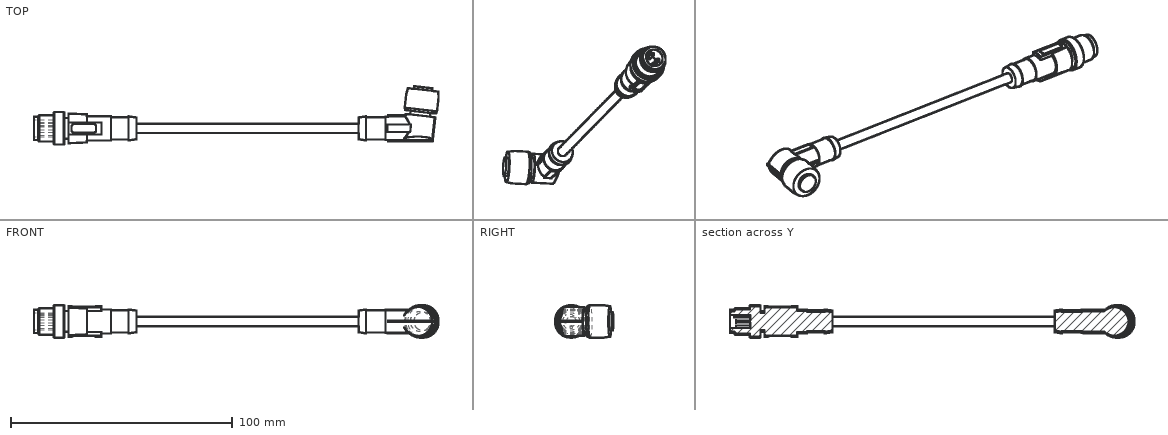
import cadquery as cq
import math

OVERALL_LENGTH = 183.0
OVERALL_WIDTH = 26.5
OVERALL_HEIGHT = 14.8
JOIN = 0.2

TIP_RADIUS = 5.3
THREAD_START = 1.8
THREAD_RADIUS = 6.0
THREAD_LEAD = 0.7
NUT_START = 9.0
NUT_END = 13.9
NUT_RADIUS = OVERALL_HEIGHT / 2
NUT_CHAMFER = 0.45
NECK_RADIUS = 4.8
BODY_START = 15.5
BODY_END = 24.0
BODY_RADIUS = 6.8
BODY_END_RADIUS = 6.4
SLEEVE_END = 35.0
SLEEVE_RADIUS = 5.5
WAIST_END = 42.8
WAIST_RADIUS = 5.1
COLLAR_END = 46.5
COLLAR_RADIUS = 5.5
COLLAR_END_RADIUS = 5.0

BORE_RADIUS = 3.8
BORE_DEPTH = 9.1
PIN_RADIUS = 0.64
PIN_LENGTH = 6.4
PIN_CIRCLE_RADIUS = 2.5
PIN_ANGLES = (90, 180, 270)
KEY_ANGLE = 57
KEY_WIDTH = 1.6
KEY_HEIGHT = 1.1

PAD_END = 30.5
PAD_WIDTH = 5.5
PAD_RADIUS = 7.0
POCKET_START = 17.0
POCKET_END = 28.2
POCKET_WIDTH = 3.8
POCKET_CHAMFER = 0.7
POCKET_FLOOR = 6.4

CABLE_RADIUS = 2.2

BARREL_START = 146.7
BARREL_RING_END = 150.0
BARREL_WAIST_END = 159.0
BARREL_WAIST_RADIUS = 5.1
BARREL_RADIUS = 5.3
GRIP_START = 159.9
GRIP_WIDTH = 3.3
GRIP_HEIGHT = 5.5

RIB_START = 160.0
RIB_FAR_END = 168.3
RIB_WIDTH = 0.7
RIB_CREST = 6.0
RIB_BACK = 7.0

ELBOW_TILT = math.radians(6.5)
ELBOW_RADIUS = 6.5
ELBOW_TOP = 5.9
ELBOW_NECK_RADIUS = 4.5
ELBOW_NUT_START = 7.5
ELBOW_NUT_FULL_START = 8.6
ELBOW_NUT_FULL_END = 14.6
ELBOW_NUT_END = 17.5
ELBOW_NUT_END_RADIUS = 7.0
INSERT_RADIUS = 4.2
END_FACE_APEX = 5.1
END_FACE_SLOPE = math.radians(12)

ELBOW_X = OVERALL_LENGTH - NUT_RADIUS * math.cos(ELBOW_TILT) - ELBOW_NUT_FULL_END * math.sin(ELBOW_TILT)
INSERT_TIP_Y = OVERALL_WIDTH - NUT_RADIUS
INSERT_END = (INSERT_TIP_Y - INSERT_RADIUS * math.sin(ELBOW_TILT)) / math.cos(ELBOW_TILT)


def turned(profile):
    """Solid of revolution about X from (station, radius) pairs."""
    points = [(profile[0][0], 0)] + profile + [(profile[-1][0], 0)]
    return cq.Workplane("XY").polyline(points).close().revolve(360, (0, 0, 0), (1, 0, 0))


def rod(start, length, radius, y=0, z=0):
    """Cylinder parallel to X."""
    return cq.Workplane("YZ", origin=(start, y, z)).circle(radius).extrude(length)


def block(x_range, y_range, z_range):
    """Axis-aligned box between the given limits."""
    spans = [high - low for low, high in (x_range, y_range, z_range)]
    corner = (x_range[0], y_range[0], z_range[0])
    return cq.Workplane("XY").box(*spans, centered=False).translate(corner)


def straight_plug():
    plug = turned([
        (0, TIP_RADIUS),
        (THREAD_START, TIP_RADIUS),
        (THREAD_START + THREAD_LEAD, THREAD_RADIUS),
        (NUT_START, THREAD_RADIUS),
        (NUT_START, NUT_RADIUS - NUT_CHAMFER),
        (NUT_START + NUT_CHAMFER, NUT_RADIUS),
        (NUT_END - NUT_CHAMFER, NUT_RADIUS),
        (NUT_END, NUT_RADIUS - NUT_CHAMFER),
        (NUT_END, NECK_RADIUS),
        (BODY_START, NECK_RADIUS),
        (BODY_START, BODY_RADIUS),
        (BODY_END, BODY_END_RADIUS),
        (BODY_END, SLEEVE_RADIUS),
        (SLEEVE_END, SLEEVE_RADIUS),
        (SLEEVE_END, WAIST_RADIUS),
        (WAIST_END, WAIST_RADIUS),
        (WAIST_END, COLLAR_RADIUS),
        (COLLAR_END, COLLAR_END_RADIUS),
    ])
    bore = rod(0, BORE_DEPTH, BORE_RADIUS)
    return plug.union(grip_pads()).cut(pad_pockets()).cut(bore).union(contacts())


def grip_pads():
    """Strip of a larger cylinder that stands proud above and below the body."""
    strip = block((BODY_START, PAD_END), (-PAD_WIDTH / 2, PAD_WIDTH / 2), (-PAD_RADIUS, PAD_RADIUS))
    return rod(BODY_START, PAD_END - BODY_START, PAD_RADIUS).intersect(strip)


def pad_pockets():
    """Shallow pockets with clipped corners sunk into both pads."""
    length = POCKET_END - POCKET_START
    depth = PAD_RADIUS - POCKET_FLOOR + JOIN
    upper = (
        cq.Workplane("XY", origin=((POCKET_START + POCKET_END) / 2, 0, POCKET_FLOOR))
        .rect(length, POCKET_WIDTH)
        .extrude(depth)
        .edges("|Z")
        .chamfer(POCKET_CHAMFER)
    )
    return upper.union(upper.mirror("XY"))


def contacts():
    """Contact pins and the coding key inside the bore."""
    key_base = BORE_RADIUS + JOIN
    parts = block(
        (THREAD_START, BORE_DEPTH + JOIN),
        (BORE_RADIUS - KEY_HEIGHT, key_base),
        (-KEY_WIDTH / 2, KEY_WIDTH / 2),
    ).rotate((0, 0, 0), (1, 0, 0), KEY_ANGLE)
    for angle in PIN_ANGLES:
        y = PIN_CIRCLE_RADIUS * math.cos(math.radians(angle))
        z = PIN_CIRCLE_RADIUS * math.sin(math.radians(angle))
        parts = parts.union(rod(BORE_DEPTH - PIN_LENGTH, PIN_LENGTH + JOIN, PIN_RADIUS, y, z))
    return parts


def barrel():
    """Cable-side barrel with a flat grip strip above and below."""
    body = turned([
        (BARREL_START, COLLAR_END_RADIUS),
        (BARREL_RING_END, COLLAR_RADIUS),
        (BARREL_RING_END, BARREL_WAIST_RADIUS),
        (BARREL_WAIST_END, BARREL_WAIST_RADIUS),
        (BARREL_WAIST_END, BARREL_RADIUS),
        (ELBOW_X, BARREL_RADIUS),
    ])
    grip = block((GRIP_START, ELBOW_X), (-GRIP_WIDTH / 2, GRIP_WIDTH / 2), (-GRIP_HEIGHT, GRIP_HEIGHT))
    return body.union(grip)


def leaned(shape):
    """Carry a shape that lies along X onto the leaning elbow axis."""
    turn = 90 - math.degrees(ELBOW_TILT)
    return shape.rotate((0, 0, 0), (0, 0, 1), turn).translate((ELBOW_X, 0, 0))


def end_envelope(reach):
    """Prism along X whose -Y side is a shallow roof with the barrel bulging through it."""
    eave = -END_FACE_APEX + reach * math.tan(END_FACE_SLOPE)
    roof = (
        cq.Workplane("YZ", origin=(ELBOW_X - reach, 0, 0))
        .polyline([(-END_FACE_APEX, 0), (eave, reach), (reach, reach), (reach, -reach), (eave, -reach)])
        .close()
        .extrude(2 * reach)
    )
    return roof.union(rod(ELBOW_X - reach, 2 * reach, BARREL_RADIUS))


def elbow():
    """Elbow housing with its nut and the socket insert."""
    reach = 2 * ELBOW_RADIUS
    housing = rod(-reach, reach + ELBOW_TOP, ELBOW_RADIUS)
    coupling = turned([
        (0, ELBOW_NECK_RADIUS),
        (ELBOW_NUT_START, ELBOW_NECK_RADIUS),
        (ELBOW_NUT_START, ELBOW_NUT_END_RADIUS),
        (ELBOW_NUT_FULL_START, NUT_RADIUS),
        (ELBOW_NUT_FULL_END, NUT_RADIUS),
        (ELBOW_NUT_END, ELBOW_NUT_END_RADIUS),
        (ELBOW_NUT_END, INSERT_RADIUS),
        (INSERT_END, INSERT_RADIUS),
    ])
    return leaned(housing).intersect(end_envelope(reach)).union(leaned(coupling))


def back_rib():
    """Thin rib along both Y sides of the barrel, leaning up the back of the elbow."""
    lean = math.tan(ELBOW_TILT)
    back_x = ELBOW_X + RIB_BACK / math.cos(ELBOW_TILT)
    top_y = ELBOW_TOP * math.cos(ELBOW_TILT) - RIB_BACK * math.sin(ELBOW_TILT)
    return (
        cq.Workplane("XY", origin=(0, 0, -RIB_WIDTH / 2))
        .polyline([
            (RIB_START, -RIB_CREST),
            (back_x - RIB_CREST * lean, -RIB_CREST),
            (back_x + top_y * lean, top_y),
            (ELBOW_X, top_y),
            (RIB_FAR_END, RIB_CREST),
            (RIB_START, RIB_CREST),
        ])
        .close()
        .extrude(RIB_WIDTH)
    )


cable = rod(COLLAR_END - JOIN, BARREL_START - COLLAR_END + 2 * JOIN, CABLE_RADIUS)
result = straight_plug().union(cable).union(barrel()).union(elbow()).union(back_rib())